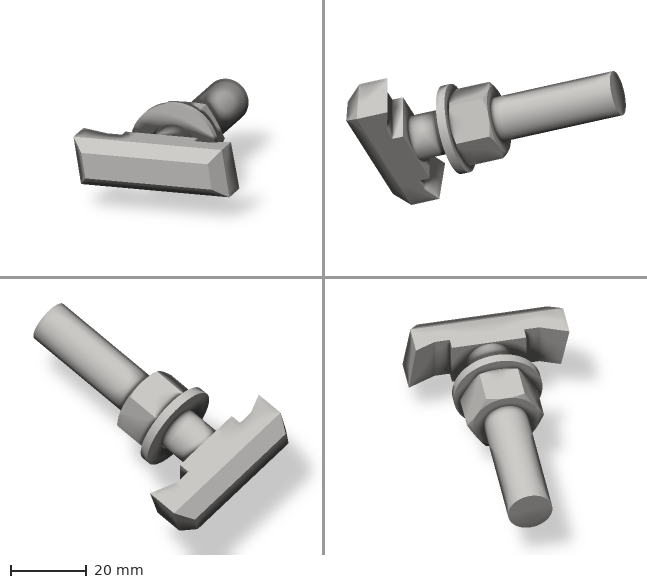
import cadquery as cq
import math

total_length = 70.0

head_length = 13.0
head_height = 12.9
head_span = 43.3
head_slant = 2.1
head_width = head_span - head_slant
front_height = 6.9
front_width = 35.15
taper_length = 4.3
boss_width = 20.0
notch_depth = 3.0
notch_span = 28.3

shank_diameter = 12.0
washer_diameter = 23.95
washer_bore = 13.0
washer_thickness = 2.45
washer_gap = 10.0
nut_across_flats = 18.0
nut_height = 10.9
nut_chamfer_diameter = 18.0
nut_chamfer_angle = 30.0

washer_start = head_length + washer_gap
nut_start = washer_start + washer_thickness


def y_plane(y):
    """Sketch plane at position y, with local axes -X and Z and its normal along +Y."""
    return cq.Plane(origin=(0, y, 0), xDir=(-1, 0, 0), normal=(0, 1, 0))


def slanted_outline(width, height):
    """Corners of a parallelogram whose slant follows that of the head."""
    lean = head_slant * height / head_height / 2
    half_width = width / 2
    half_height = height / 2
    return [
        (half_width + lean, half_height),
        (-half_width + lean, half_height),
        (-half_width - lean, -half_height),
        (half_width - lean, -half_height),
    ]


def make_head():
    taper = (
        cq.Workplane(y_plane(0))
        .polyline(slanted_outline(front_width, front_height)).close()
        .workplane(offset=taper_length)
        .polyline(slanted_outline(head_width, head_height)).close()
        .loft(ruled=True)
    )
    block = (
        cq.Workplane(y_plane(taper_length))
        .polyline(slanted_outline(head_width, head_height)).close()
        .extrude(head_length - taper_length)
    )
    head = taper.union(block)
    notch_floor = head_length - notch_depth
    for side in (-1, 1):
        notch = (
            cq.Workplane("XY")
            .polyline([
                (side * boss_width / 2, head_length),
                (side * boss_width / 2, notch_floor),
                (side * notch_span / 2, notch_floor),
                (side * head_span / 2, head_length),
            ]).close()
            .extrude(head_height / 2, both=True)
        )
        head = head.cut(notch)
    return head


def make_bolt():
    shank = (
        cq.Workplane(y_plane(head_length))
        .circle(shank_diameter / 2)
        .extrude(total_length - head_length)
    )
    return make_head().union(shank)


def make_washer():
    return (
        cq.Workplane(y_plane(washer_start))
        .circle(washer_diameter / 2)
        .circle(washer_bore / 2)
        .extrude(washer_thickness)
    )


def make_nut():
    across_corners = nut_across_flats / math.cos(math.pi / 6)
    hexagon = (
        cq.Workplane(y_plane(nut_start))
        .polygon(6, across_corners)
        .circle(shank_diameter / 2)
        .extrude(nut_height)
    )
    end_radius = nut_chamfer_diameter / 2
    corner_radius = across_corners / 2
    bevel = (corner_radius - end_radius) * math.tan(math.radians(nut_chamfer_angle))
    nut_end = nut_start + nut_height
    envelope = (
        cq.Workplane("XY")
        .polyline([
            (0, nut_start),
            (end_radius, nut_start),
            (corner_radius, nut_start + bevel),
            (corner_radius, nut_end - bevel),
            (end_radius, nut_end),
            (0, nut_end),
        ]).close()
        .revolve(360, (0, 0, 0), (0, 1, 0))
    )
    return hexagon.intersect(envelope)


bolt = make_bolt()
washer = make_washer()
nut = make_nut()

result = cq.Compound.makeCompound([bolt.val(), washer.val(), nut.val()])